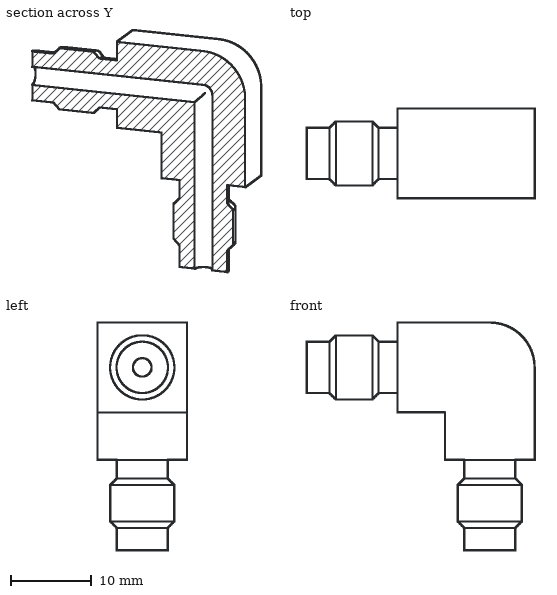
import cadquery as cq

overall_length = 28.1625
body_width = 11.1125
port_length = 11.18
pipe_diameter = 6.35
collar_diameter = 7.94
collar_length = 6.1
tip_length = 2.79
bore_diameter = 2.28

half_width = body_width / 2
reach = overall_length - half_width
body_reach = reach - port_length
pipe_radius = pipe_diameter / 2
collar_radius = collar_diameter / 2
bore_radius = bore_diameter / 2
bevel = collar_radius - pipe_radius
collar_end = reach - tip_length
collar_start = collar_end - collar_length


def make_body():
    """L-shaped elbow block with its outer corner rounded."""
    return (
        cq.Workplane("XZ")
        .moveTo(-body_reach, half_width)
        .lineTo(0, half_width)
        .radiusArc((half_width, 0), half_width)
        .lineTo(half_width, -body_reach)
        .lineTo(-half_width, -body_reach)
        .lineTo(-half_width, -half_width)
        .lineTo(-body_reach, -half_width)
        .close()
        .extrude(half_width, both=True)
    )


def make_down_port():
    """Pipe with a bevelled collar, revolved about Z and pointing toward -Z."""
    return (
        cq.Workplane("XZ")
        .moveTo(0, -body_reach)
        .lineTo(pipe_radius, -body_reach)
        .lineTo(pipe_radius, -collar_start)
        .lineTo(collar_radius, -collar_start - bevel)
        .lineTo(collar_radius, -collar_end + bevel)
        .lineTo(pipe_radius, -collar_end)
        .lineTo(pipe_radius, -reach)
        .lineTo(0, -reach)
        .close()
        .revolve(360, (0, 0, 0), (0, 1, 0))
    )


def make_down_bore():
    """Straight bore from the axis crossing to the tip of the -Z port."""
    return cq.Workplane("XY").circle(bore_radius).extrude(-reach)


def turn_to_side(shape):
    """Swing a shape that points toward -Z so that it points toward -X."""
    return shape.rotate((0, 0, 0), (0, 1, 0), 90)


result = make_body()

for port in (make_down_port(), turn_to_side(make_down_port())):
    result = result.union(port)

for bore in (make_down_bore(), turn_to_side(make_down_bore())):
    result = result.cut(bore)
result = result.cut(cq.Workplane("XY").sphere(bore_radius))